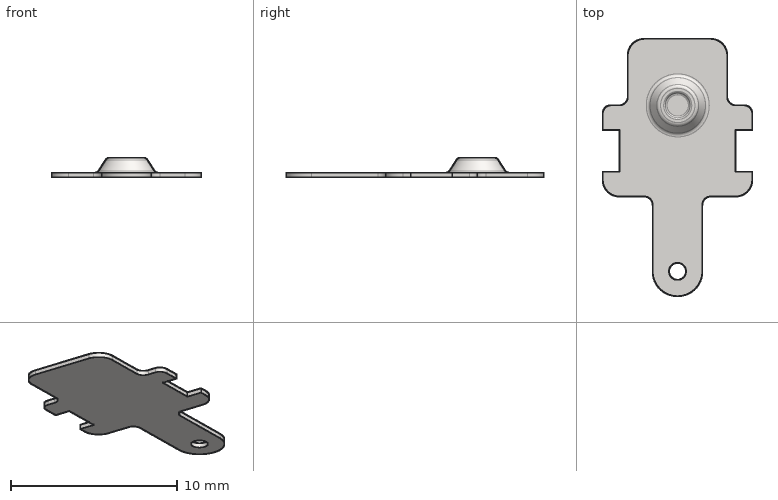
import cadquery as cq
import math

thickness = 0.3
total_length = 15.5
body_width = 9.0
head_width = 6.0
head_length = 4.0
body_length = 5.5
large_radius = 1.0
small_radius = 0.5

notch_depth = 1.0
notch_top = -1.5
notch_height = 2.5

tail_width = 3.0
tail_hole_diameter = 1.0

total_height = 1.2
cone_base_radius = 1.75
cone_top_radius = 1.18
cone_blend_radius = 0.26
dimple_radius = 0.75
dimple_blend_radius = 0.1
dimple_depth = 2 * dimple_blend_radius

tail_end_y = head_length - total_length
tail_center_y = tail_end_y + tail_width / 2


def block(width, top_y, bottom_y):
    """Plate-thick rectangle, symmetric about X = 0."""
    return (
        cq.Workplane("XY")
        .center(0, (top_y + bottom_y) / 2)
        .rect(width, top_y - bottom_y)
        .extrude(thickness)
    )


def round_corners(solid, half_width, y, radius):
    """Round the pair of upright edges at X = +/-half_width on the given Y."""
    tolerance = 0.02
    for x in (-half_width, half_width):
        corner = cq.selectors.BoxSelector(
            (x - tolerance, y - tolerance, -tolerance),
            (x + tolerance, y + tolerance, thickness + tolerance),
        )
        solid = solid.edges("|Z").edges(corner).fillet(radius)
    return solid


def make_plate():
    plate = block(body_width, 0, -body_length)
    plate = plate.union(block(head_width, head_length, -body_length))
    plate = plate.union(block(tail_width, 0, tail_center_y))
    plate = round_corners(plate, head_width / 2, head_length, large_radius)
    plate = round_corners(plate, head_width / 2, 0, small_radius)
    plate = round_corners(plate, body_width / 2, 0, small_radius)
    plate = round_corners(plate, body_width / 2, -body_length, large_radius)
    plate = round_corners(plate, tail_width / 2, -body_length, small_radius)

    tail_end = cq.Workplane("XY").center(0, tail_center_y).circle(tail_width / 2).extrude(thickness)
    tail_hole = cq.Workplane("XY").center(0, tail_center_y).circle(tail_hole_diameter / 2).extrude(thickness)
    plate = plate.union(tail_end).cut(tail_hole)

    notches = (
        cq.Workplane("XY")
        .pushPoints([(side * body_width / 2, notch_top - notch_height / 2) for side in (-1, 1)])
        .rect(2 * notch_depth, notch_height)
        .extrude(thickness)
    )
    return plate.cut(notches)


def make_button():
    """Revolve the half profile of the button around Z."""
    slope = math.atan2(total_height - thickness, cone_base_radius - cone_top_radius)
    blend_length = cone_blend_radius * math.tan(slope / 2)
    blend_run = blend_length * math.cos(slope)
    blend_rise = blend_length * math.sin(slope)
    mid_run = cone_blend_radius * math.sin(slope / 2)
    mid_rise = cone_blend_radius * (1 - math.cos(slope / 2))
    foot_radius = cone_base_radius + blend_length
    crown_radius = cone_top_radius - blend_length

    floor_radius = dimple_radius - dimple_blend_radius
    rim_radius = dimple_radius + dimple_blend_radius
    floor_z = total_height - dimple_depth
    wall_z = floor_z + dimple_blend_radius
    arc_inset = dimple_blend_radius * math.sqrt(0.5)

    profile = (
        cq.Workplane("XZ")
        .lineTo(foot_radius, 0)
        .lineTo(foot_radius, thickness)
        .threePointArc(
            (foot_radius - mid_run, thickness + mid_rise),
            (cone_base_radius - blend_run, thickness + blend_rise),
        )
        .lineTo(cone_top_radius + blend_run, total_height - blend_rise)
        .threePointArc(
            (crown_radius + mid_run, total_height - mid_rise),
            (crown_radius, total_height),
        )
        .lineTo(rim_radius, total_height)
        .threePointArc(
            (rim_radius - arc_inset, wall_z + arc_inset),
            (dimple_radius, wall_z),
        )
        .threePointArc(
            (floor_radius + arc_inset, wall_z - arc_inset),
            (floor_radius, floor_z),
        )
        .lineTo(0, floor_z)
        .close()
    )
    return profile.revolve(360, (0, 0, 0), (0, 1, 0))


result = make_plate().union(make_button())